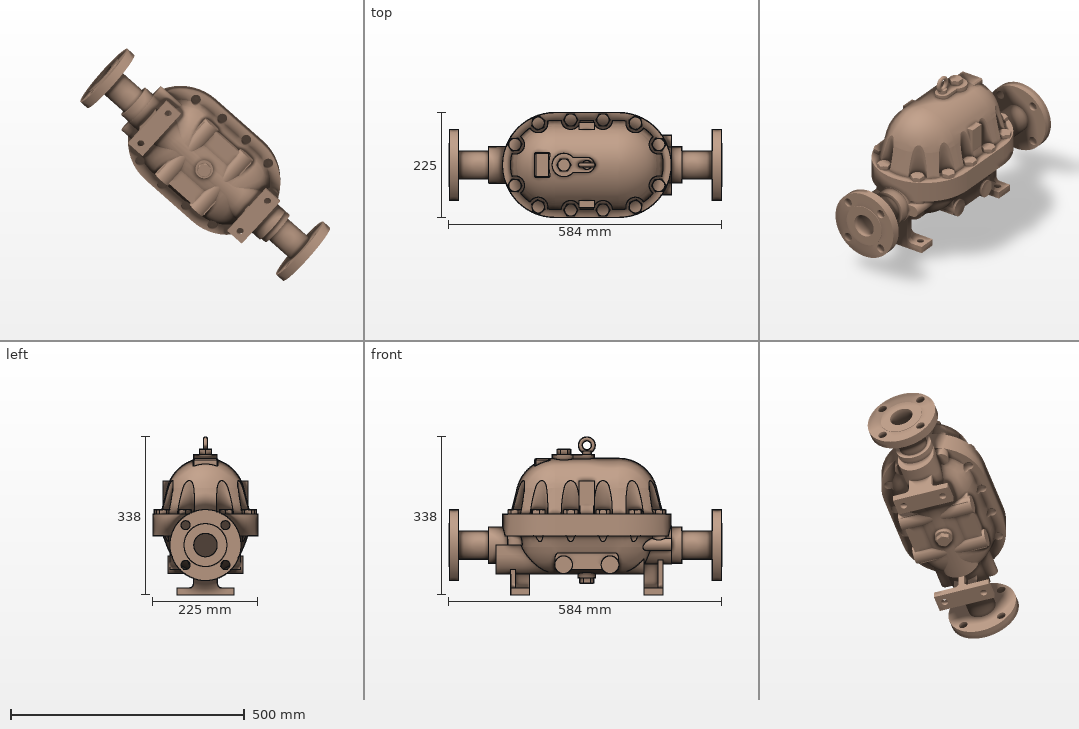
import cadquery as cq
import math


pipe_length = 584.0
pipe_start = -295.0
pipe_end = pipe_start + pipe_length
pipe_dia = 61.0
hub_dia = 78.0
hub_start = -210.0
hub_end = 203.0
bore_dia = 50.0
bore_depth = 93.5
outlet_dia = 82.0
outlet_start = 82.0
outlet_end = 181.0

flange_dia = 152.0
flange_thickness = 20.0
face_dia = 91.5
face_height = 1.0
flange_hole_dia = 19.0
flange_hole_circle = 120.5

half_straight = 68.0
joint_width = 225.0
joint_top = 66.0
joint_parting = 42.5
joint_bottom = 20.0

dome_radius = 84.0
dome_center_z = 101.5
dome_draft = 14.0
bowl_radius = 87.0
bowl_center_z = 26.0
bowl_draft = 20.5

bolt_radius = 96.5
bolt_angles = (27.0, 68.0)
side_bolt_x = 34.5
bolt_flats = 26.0
hex_half_step = 180 / 6
bolt_head_height = 10.0
bolt_head_chamfer = 1.0
bolt_hole_dia = 21.0
scallop_dia = 41.0
nut_boss_dia = 31.5
nut_boss_bottom = 0.5

top_boss_x = -49.0
top_boss_dia = 50.0
top_boss_z = 193.5
top_tail_width = 32.5
plug_height = 11.5
eye_outer_dia = 36.0
eye_wire_dia = 9.0
eye_center_z = 213.0
eye_collar_dia = 19.0
eye_collar_height = 8.0

plate_x = -95.0
plate_length = 33.0
plate_width = 54.5
plate_top = 185.0
plate_edge = 3.0
side_pad_length = 32.5
side_pad_y = 91.0
side_pad_top = 137.0

casing_start = -194.5
casing_end = 122.0
casing_radius = 40.0
casing_center_z = -22.0
casing_top = 0.0

boss_dia = 38.0
boss_x = 49.5
boss_z = -42.0
boss_y = 80.5
web_pad_y = 75.5
web_pad_top = -15.0
web_pad_bottom = -52.5
web_pad_corner = 11.5

lug_height = 25.5
lug_z = 1.0
lug_y = 63.5

drain_boss_dia = 38.0
drain_boss_bottom = -70.0

foot_bottom = -107.0
foot_plate_top = -91.5
foot_half_width = 61.5
foot_inner_x = 122.0
foot_outer_x = 163.0
foot_rib_thickness = 10.5
foot_rib_half_width = 25.5
foot_web_half_width = 6.0
foot_fillet = 10.0
foot_hole_dia = 15.0
foot_hole_y = 44.0


def x_rod(dia, start, end):
    return cq.Workplane("YZ", origin=(start, 0, 0)).circle(dia / 2).extrude(end - start)


def z_rod(dia, x, y, bottom, top):
    return cq.Workplane("XY", origin=(x, y, bottom)).circle(dia / 2).extrude(top - bottom)


def box(x_range, y_range, z_range):
    spans = [high - low for low, high in (x_range, y_range, z_range)]
    corner = (x_range[0], y_range[0], z_range[0])
    return cq.Workplane("XY", origin=corner).box(*spans, centered=False)


def hex_head(x, y, bottom, height, turn):
    """Hexagon head with a corner at angle `turn` and its top corners turned off."""
    corner_dia = bolt_flats / math.cos(math.radians(hex_half_step))
    head = cq.Workplane("XY").polygon(6, corner_dia).extrude(height)
    blank = cq.Workplane("XY").circle(corner_dia / 2).extrude(height)
    blank = blank.faces(">Z").chamfer(bolt_head_chamfer, (corner_dia - bolt_flats) / 2)
    head = head.intersect(blank)
    return head.rotate((0, 0, 0), (0, 0, 1), turn).translate((x, y, bottom))


def drafted_shell(radius, center_z, draft, rim_z, up):
    """Stadium-plan body: a ball end, then a drafted wall that widens to rim_z; up is 1 or -1."""
    angle = math.radians(draft)
    tangent_r = radius * math.cos(angle)
    tangent_z = center_z + up * radius * math.sin(angle)
    rim_r = tangent_r + abs(tangent_z - rim_z) * math.tan(angle)
    mid_angle = (angle + math.pi / 2) / 2
    mid_r = radius * math.cos(mid_angle)
    mid_z = center_z + up * radius * math.sin(mid_angle)
    crown_z = center_z + up * radius
    end = (
        cq.Workplane("XZ")
        .moveTo(0, rim_z)
        .lineTo(rim_r, rim_z)
        .lineTo(tangent_r, tangent_z)
        .threePointArc((mid_r, mid_z), (0, crown_z))
        .close()
        .revolve(360, (0, 0, 0), (0, 1, 0))
    )
    middle = (
        cq.Workplane("YZ", origin=(-half_straight, 0, 0))
        .moveTo(-rim_r, rim_z)
        .lineTo(-tangent_r, tangent_z)
        .threePointArc((0, crown_z), (tangent_r, tangent_z))
        .lineTo(rim_r, rim_z)
        .close()
        .extrude(2 * half_straight)
    )
    for side in (-1, 1):
        middle = middle.union(end.translate((side * half_straight, 0, 0)))
    return middle


def joint_flange():
    length = 2 * half_straight + joint_width
    outline = cq.Workplane("XY", origin=(0, 0, joint_bottom)).slot2D(length, joint_width)
    return outline.extrude(joint_top - joint_bottom)


def bolt_places():
    """(x, y, corner angle) of the twelve joint bolts."""
    places = []
    for sx in (-1, 1):
        for sy in (-1, 1):
            places.append((sx * side_bolt_x, sy * bolt_radius, 0))
            for angle in bolt_angles:
                x = half_straight + bolt_radius * math.cos(math.radians(angle))
                y = bolt_radius * math.sin(math.radians(angle))
                places.append((sx * x, sy * y, sx * sy * (angle + hex_half_step)))
    return places


def cover():
    dome = drafted_shell(dome_radius, dome_center_z, dome_draft, joint_top, 1)
    for x, y, _ in bolt_places():
        dome = dome.cut(z_rod(scallop_dia, x, y, joint_top, dome_center_z + dome_radius))
    half = side_pad_length / 2
    pads = box((-half, half), (-side_pad_y, side_pad_y), (joint_top, side_pad_top))
    return dome.union(pads)


def bowl():
    return drafted_shell(bowl_radius, bowl_center_z, bowl_draft, joint_bottom, -1)


def pipe_line():
    line = x_rod(pipe_dia, pipe_start, pipe_end)
    line = line.union(x_rod(hub_dia, hub_start, hub_end))
    line = line.union(x_rod(outlet_dia, outlet_start, outlet_end))
    plate = x_rod(flange_dia, face_height, face_height + flange_thickness)
    plate = plate.union(x_rod(face_dia, 0, flange_thickness))
    holes = (
        cq.Workplane("YZ")
        .polarArray(flange_hole_circle / 2, 45, 360, 4)
        .circle(flange_hole_dia / 2)
        .extrude(2 * flange_thickness)
    )
    plate = plate.cut(holes)
    line = line.union(plate.translate((pipe_start, 0, 0)))
    return line.union(plate.mirror("YZ").translate((pipe_end, 0, 0)))


def lower_casing():
    return (
        cq.Workplane("YZ", origin=(casing_start, 0, 0))
        .moveTo(-casing_radius, casing_top)
        .lineTo(-casing_radius, casing_center_z)
        .threePointArc((0, casing_center_z - casing_radius), (casing_radius, casing_center_z))
        .lineTo(casing_radius, casing_top)
        .close()
        .extrude(casing_end - casing_start)
    )


def side_bosses():
    pad = box((-half_straight, half_straight), (-web_pad_y, web_pad_y), (web_pad_bottom, web_pad_top))
    pad = pad.edges("|Y and >Z").fillet(web_pad_corner)
    bosses = (
        cq.Workplane("XZ", origin=(0, boss_y, boss_z))
        .pushPoints([(-boss_x, 0), (boss_x, 0)])
        .circle(boss_dia / 2)
        .extrude(2 * boss_y)
    )
    return pad.union(bosses)


def arrow_lugs():
    return (
        cq.Workplane("YZ", origin=(outlet_start, 0, lug_z))
        .slot2D(2 * lug_y, lug_height)
        .extrude(outlet_end - outlet_start)
    )


def top_fittings():
    base_z = dome_center_z + dome_radius / 2
    boss = z_rod(top_boss_dia, top_boss_x, 0, base_z, top_boss_z)
    half = top_tail_width / 2
    boss = boss.union(box((top_boss_x, 0), (-half, half), (base_z, top_boss_z)))
    boss = boss.union(z_rod(top_tail_width, 0, 0, base_z, top_boss_z))
    boss = boss.union(hex_head(top_boss_x, 0, top_boss_z, plug_height, 0))
    boss = boss.union(z_rod(eye_collar_dia, 0, 0, top_boss_z, top_boss_z + eye_collar_height))
    eye_center = cq.Vector(0, 0, eye_center_z)
    ring_radius = (eye_outer_dia - eye_wire_dia) / 2
    ring = cq.Solid.makeTorus(ring_radius, eye_wire_dia / 2, eye_center, cq.Vector(0, 1, 0))
    return boss.union(cq.Workplane(ring))


def name_plate_pad():
    base_z = dome_center_z + dome_radius / 2
    plate = box(
        (plate_x - plate_length / 2, plate_x + plate_length / 2),
        (-plate_width / 2, plate_width / 2),
        (base_z, plate_top),
    )
    return plate.edges("|Z").chamfer(plate_edge).faces(">Z").chamfer(plate_edge)


def drain_plug():
    boss = z_rod(drain_boss_dia, 0, 0, drain_boss_bottom, casing_center_z)
    head = hex_head(0, 0, 0, plug_height, 0).mirror("XY").translate((0, 0, drain_boss_bottom))
    return boss.union(head)


def foot_upright(half_width, start, end):
    """Upright wall under the body that flares into the foot plate with fillets."""
    profile = (
        cq.Workplane("YZ", origin=(start, 0, foot_plate_top))
        .moveTo(-half_width - foot_fillet, 0)
        .radiusArc((-half_width, foot_fillet), -foot_fillet)
        .lineTo(-half_width, -foot_plate_top)
        .lineTo(half_width, -foot_plate_top)
        .lineTo(half_width, foot_fillet)
        .radiusArc((half_width + foot_fillet, 0), -foot_fillet)
        .close()
    )
    return profile.extrude(end - start)


def outlet_foot():
    width_range = (-foot_half_width, foot_half_width)
    foot = box((foot_inner_x, foot_outer_x), width_range, (foot_bottom, foot_plate_top))
    rib_start = foot_outer_x - foot_rib_thickness
    foot = foot.union(foot_upright(foot_rib_half_width, rib_start, foot_outer_x))
    foot = foot.union(foot_upright(foot_web_half_width, foot_inner_x, rib_start))
    hole_x = (foot_inner_x + foot_outer_x) / 2
    for side in (-1, 1):
        foot = foot.cut(z_rod(foot_hole_dia, hole_x, side * foot_hole_y, foot_bottom, foot_plate_top))
    return foot


def add_bolts(solid):
    """Bolt heads all round; nut bosses under the end bolts and clearance holes under the others."""
    for x, y, corner_angle in bolt_places():
        if abs(x) > half_straight + bolt_radius / 2:
            solid = solid.union(z_rod(nut_boss_dia, x, y, nut_boss_bottom, joint_parting))
        else:
            solid = solid.cut(z_rod(bolt_hole_dia, x, y, casing_center_z, joint_parting))
        solid = solid.union(hex_head(x, y, joint_top, bolt_head_height, corner_angle))
    return solid


result = cover().union(joint_flange()).union(bowl())
result = add_bolts(result)
features = (
    lower_casing(),
    pipe_line(),
    side_bosses(),
    arrow_lugs(),
    top_fittings(),
    name_plate_pad(),
    drain_plug(),
    outlet_foot(),
    outlet_foot().mirror("YZ"),
)
for feature in features:
    result = result.union(feature)
for start in (pipe_start, pipe_end - bore_depth):
    result = result.cut(x_rod(bore_dia, start, start + bore_depth))